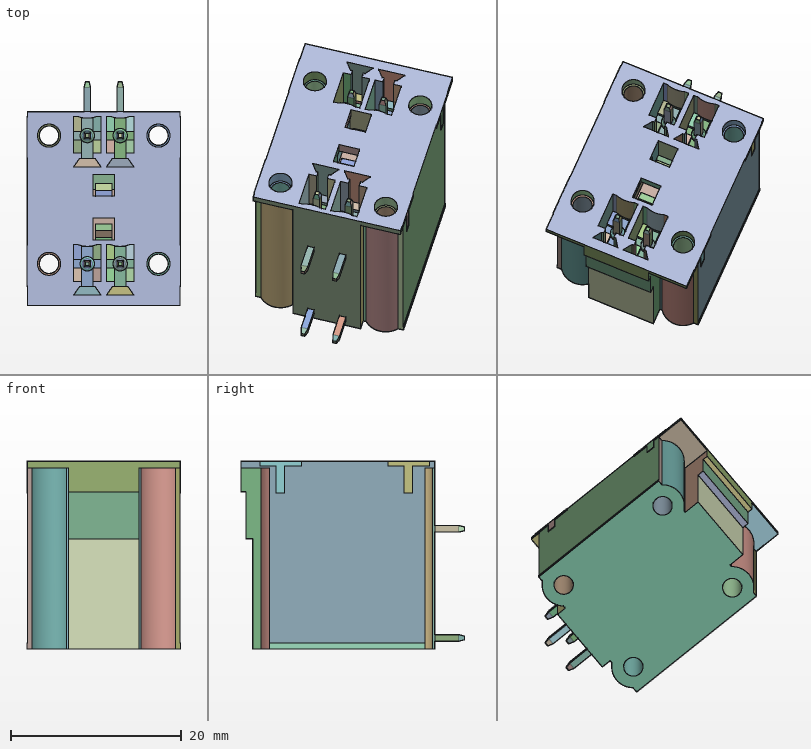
import cadquery as cq
import math


height = 22.0
length = 22.7
body_width = 17.9
flange_thickness = 0.8
body_front = 3.33
body_back = 21.53

block_width = 8.24
block_depth = 1.38
middle_step_y = 0.6
upper_step_z = 18.4
lower_step_z = 12.9

column_radius = 2.54
bore_diameter = 2.25
counterbore_diameter = 2.7
counterbore_depth = 1.6
column_pitch_x = 12.8
row_pitch = 15.0
front_row_y = 4.88
row_ys = [front_row_y, front_row_y + row_pitch]

overall_width = 18.01
base_strip_height = 0.7
tee_bar_start = -2.65
tee_bar_length = 4.87
tee_bar_height = 0.6
tee_stem_start = -0.77
tee_stem_width = 1.0
tee_depth = 3.73

pin_pitch = 3.85
pin_xs = [-pin_pitch / 2, pin_pitch / 2]
socket_width = 3.2
socket_back = 2.24
socket_front = -2.06
socket_depth = 6.0
socket_floor_z = height - socket_depth
back_wall_flat = 0.5
back_wall_bulge = 0.2
groove_width = 1.3
groove_front = -2.65
groove_depth = 0.5
groove_floor_z = socket_floor_z - groove_depth
cross_groove_width = 1.0
dovetail_neck = 1.8
dovetail_front = -3.66

pin_width = 0.8
tip_width = 0.44
tip_length = 0.7
pin_top_z = height - 0.4
pin_end_y = 26.2
pin_exit_zs = [1.3, 14.07]
collar_diameter = 1.68
collar_edge_radius = 0.24

pocket_width = 2.5
front_pocket = (7.65, 10.25)
back_pocket = (12.8, 15.3)
tunnel_width = 2.7
tunnel_roof_z = height - 1.35
tunnel_end_y = 13.6
latch_floor_z = height - 5.0
latch_plate_thickness = 1.0
hook_width = 1.94
hook_top_length = 0.8
hook_ramp_length = 0.8
hook_lip_height = 0.3
front_hook_inner_y = 9.55
back_hook_inner_y = 12.65


def block(x_size, y_range, z_range, x_center=0.0):
    """Box centred on x_center that spans the given Y and Z ranges."""
    y_size = y_range[1] - y_range[0]
    z_size = z_range[1] - z_range[0]
    bar = cq.Workplane("XY").box(x_size, y_size, z_size, centered=(True, False, False))
    return bar.translate((x_center, y_range[0], z_range[0]))


def cylinder(diameter, z_range, x, y):
    """Upright cylinder at (x, y) that spans the given Z range."""
    base = cq.Workplane("XY", origin=(x, y, z_range[0]))
    return base.circle(diameter / 2).extrude(z_range[1] - z_range[0])


def housing_shell():
    """Core, flange, front and back blocks and the four screw columns, before any cut."""
    shell = block(body_width, (body_front, body_back), (0, height))
    shell = shell.union(block(body_width, (0, length), (height - flange_thickness, height)))
    side_profile = [
        (length, 0),
        (block_depth, 0),
        (block_depth, lower_step_z),
        (middle_step_y, lower_step_z),
        (middle_step_y, upper_step_z),
        (0, upper_step_z),
        (0, height),
        (length, height),
    ]
    middle = cq.Workplane("YZ").polyline(side_profile).close().extrude(block_width / 2, both=True)
    shell = shell.union(middle)
    for x in (-column_pitch_x / 2, column_pitch_x / 2):
        for y in row_ys:
            shell = shell.union(cylinder(2 * column_radius, (0, height), x, y))
    return shell


def side_pads():
    """Base strip and T-shaped pads, made as bars that run across and stand proud on both sides."""
    pads = block(overall_width, (body_front, body_back), (0, base_strip_height))
    for y in row_ys:
        bar_y = y + tee_bar_start
        stem_y = y + tee_stem_start
        bar = block(overall_width, (bar_y, bar_y + tee_bar_length), (height - tee_bar_height, height))
        stem = block(overall_width, (stem_y, stem_y + tee_stem_width), (height - tee_depth, height))
        pads = pads.union(bar).union(stem)
    return pads


def screw_holes():
    """Stepped holes that run through the four columns."""
    holes = cq.Workplane("XY")
    for x in (-column_pitch_x / 2, column_pitch_x / 2):
        for y in row_ys:
            holes = holes.add(cylinder(bore_diameter, (0, height), x, y))
            holes = holes.add(cylinder(counterbore_diameter, (height - counterbore_depth, height), x, y))
    return holes.combine()


def socket_cut(x, y):
    """Plug socket with a bulged back wall, a cross-shaped floor groove and a dovetail key slot."""
    half = socket_width / 2
    arc_half = half - back_wall_flat
    chamber = (
        cq.Workplane("XY")
        .moveTo(-half, socket_front)
        .lineTo(half, socket_front)
        .lineTo(half, socket_back)
        .lineTo(arc_half, socket_back)
        .threePointArc((0, socket_back - back_wall_bulge), (-arc_half, socket_back))
        .lineTo(-half, socket_back)
        .close()
        .extrude(socket_depth)
    )
    dovetail = (
        cq.Workplane("XY")
        .moveTo(-dovetail_neck / 2, groove_front)
        .lineTo(dovetail_neck / 2, groove_front)
        .lineTo(half, dovetail_front)
        .lineTo(-half, dovetail_front)
        .close()
        .extrude(socket_depth)
    )
    groove_back = socket_back - back_wall_bulge
    groove = block(groove_width, (groove_front, groove_back), (-groove_depth, socket_depth))
    cross_groove = block(
        socket_width, (-cross_groove_width / 2, cross_groove_width / 2), (-groove_depth, socket_depth)
    )
    collar_seat = cylinder(collar_diameter, (-groove_depth, socket_depth), 0, 0)
    cut = chamber.union(dovetail).union(groove).union(cross_groove).union(collar_seat)
    return cut.translate((x, y, socket_floor_z))


def latch_cavity():
    """Two square pockets joined under the top face by a wider tunnel."""
    cavity = block(tunnel_width, (front_pocket[0], tunnel_end_y), (latch_floor_z, tunnel_roof_z))
    for pocket in (front_pocket, back_pocket):
        cavity = cavity.union(block(pocket_width, pocket, (latch_floor_z, height)))
    return cavity


def make_pin(x, y, exit_z):
    """Square wire that rises through the socket floor and leaves through the back, both tips tapered."""
    half = pin_width / 2
    tip_taper = math.degrees(math.atan((pin_width - tip_width) / 2 / tip_length))
    shoulder_z = pin_top_z - tip_length
    shoulder_y = pin_end_y - tip_length
    upright = block(pin_width, (y - half, y + half), (exit_z - half, shoulder_z), x)
    tail = block(pin_width, (y - half, shoulder_y), (exit_z - half, exit_z + half), x)
    top_tip = cq.Workplane("XY", origin=(x, y, shoulder_z)).rect(pin_width, pin_width)
    top_tip = top_tip.extrude(tip_length, taper=tip_taper)
    tail_tip = cq.Workplane("XZ", origin=(x, shoulder_y, exit_z)).rect(pin_width, pin_width)
    tail_tip = tail_tip.extrude(-tip_length, taper=tip_taper)
    return upright.union(tail).union(top_tip).union(tail_tip)


def make_collar(x, y, pin):
    """Ring around the pin, seated in the socket floor, with a rounded top edge."""
    ring_top_z = socket_floor_z + collar_edge_radius
    ring = cylinder(collar_diameter, (groove_floor_z, ring_top_z), x, y)
    return ring.edges(">Z").fillet(collar_edge_radius).cut(pin)


def make_hook(inner_y, outward):
    """Hook with a flat top, a ramp and a low lip; outward is the Y direction the ramp faces."""
    lip_z = latch_floor_z + latch_plate_thickness + hook_lip_height
    top_z = lip_z + hook_ramp_length
    ramp_start_y = inner_y + outward * hook_top_length
    ramp_end_y = ramp_start_y + outward * hook_ramp_length
    profile = [
        (inner_y, latch_floor_z),
        (inner_y, top_z),
        (ramp_start_y, top_z),
        (ramp_end_y, lip_z),
        (ramp_end_y, latch_floor_z),
    ]
    return cq.Workplane("YZ").polyline(profile).close().extrude(hook_width / 2, both=True)


def make_latch():
    """Flat slider in the tunnel that carries two hooks facing away from each other."""
    plate_top_z = latch_floor_z + latch_plate_thickness
    lip_z = plate_top_z + hook_lip_height
    plate = block(tunnel_width, (front_pocket[0], tunnel_end_y), (latch_floor_z, plate_top_z))
    front_hook = make_hook(front_hook_inner_y, -1)
    lip_end_y = front_hook_inner_y - hook_top_length - hook_ramp_length
    front_lip = block(hook_width, (front_pocket[0], lip_end_y), (latch_floor_z, lip_z))
    back_hook = make_hook(back_hook_inner_y, 1)
    return plate.union(front_hook).union(front_lip).union(back_hook)


pins = []
collars = []
housing = housing_shell().union(side_pads()).cut(screw_holes()).cut(latch_cavity())
for row_y, exit_z in zip(row_ys, pin_exit_zs):
    for pin_x in pin_xs:
        pin = make_pin(pin_x, row_y, exit_z)
        pins.append(pin)
        collars.append(make_collar(pin_x, row_y, pin))
        housing = housing.cut(socket_cut(pin_x, row_y)).cut(pin)
latch = make_latch()

result = cq.Compound.makeCompound(
    [housing.val(), latch.val(), *[pin.val() for pin in pins], *[collar.val() for collar in collars]]
)